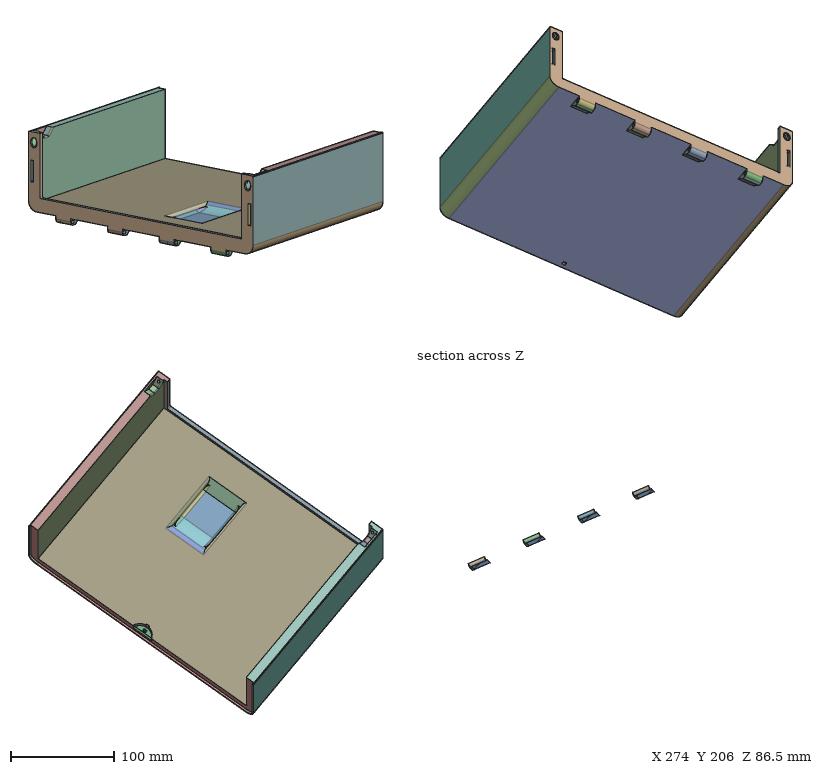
import cadquery as cq
import math


width = 274.0
length = 206.0
total_height = 86.5
hook_drop = 7.0
height = total_height - hook_drop
shell = 10.1
corner_radius = 10.1
top_chamfer = 0.8

rim_thickness = 14.2
rim_depth = 4.0
rim_fillet = 1.0

lap_length = 2.2
skin = 1.5

notch_start = 5.5
notch_ramp = 6.8
notch_flat = 6.3
notch_outer_wall = 2.7
notch_edge_fillet = 1.5

screw_below_top = 10.7
screw_from_side = 6.5
screw_bore_diameter = 6.0
screw_bore_depth = 6.5
screw_end_diameter = 2.7
screw_mouth_chamfer = 0.8

slot_width = 3.0
slot_height = 21.6
slot_from_side = 4.5
slot_below_top = 39.5
slot_depth = 4.0

recess_middle = 25.5
recess_width = 46.0
recess_front = 34.8
recess_rear = 103.3
recess_depth = 6.0
recess_front_ramp = 12.3
recess_fillet = 2.7
recess_lip_run = 6.0
recess_sweep_run = 15.3

scoop_radius = 12.0
scoop_base_radius = 11.5
scoop_behind_rear = 1.6
scoop_depth = 3.5
scoop_end_chamfer = 1.6
scoop_hole = 3.3
scoop_hole_from_rear = 5.8
scoop_nick_length = 2.2
scoop_nick_from_rear = 11.5

hook_count = 4
hook_pitch = 63.0
hook_width = 18.4
hook_length = 16.5
hook_heel_y = 13.2
hook_heel_drop = 1.6
hook_toe = 7.5
hook_nose_radius = 4.0
hook_hole_length = 4.5
hook_hole_height = 3.3
hook_hole_y = 3.3
hook_hole_below = 3.5

select_margin = 0.3


def box(x0, x1, y0, y1, z0, z1):
    return cq.Workplane("XY").box(x1 - x0, y1 - y0, z1 - z0, centered=False).translate((x0, y0, z0))


def along_x(outline, x0, x1):
    """Extrude a closed YZ outline from x0 to x1."""
    return outline.extrude(x1 - x0).translate((x0, 0, 0))


def both_sides(body):
    return body.union(body.mirror("YZ"))


def channel():
    outer = box(-width / 2, width / 2, 0, length, 0, height)
    outer = outer.edges("|Y and <Z").fillet(corner_radius)
    outer = outer.edges("|Y and >Z").chamfer(top_chamfer)
    rim_half = width / 2 - rim_thickness
    rim_opening = box(-rim_half, rim_half, 0, rim_depth, rim_thickness, height)
    rim_opening = rim_opening.edges("|Y and <Z").fillet(rim_fillet)
    shell_half = width / 2 - shell
    opening = box(-shell_half, shell_half, rim_depth, length, shell, height)
    lap_half = width / 2 - skin
    lap = box(-lap_half, lap_half, length - lap_length, length, skin, height)
    lap = lap.edges("|Y and <Z").fillet(corner_radius - skin)
    return outer.cut(rim_opening).cut(opening).cut(lap)


def notch():
    floor_start = notch_start + notch_ramp
    floor_end = floor_start + notch_flat
    outline = cq.Workplane("YZ").polyline([
        (notch_start, height),
        (floor_start, height - notch_ramp),
        (floor_end, height - notch_ramp),
        (floor_end + notch_ramp, height),
    ]).close()
    outer_face = width / 2 - notch_outer_wall
    return along_x(outline, width / 2 - rim_thickness, outer_face)


def screw_hole():
    start = cq.Vector(width / 2 - screw_from_side, 0, height - screw_below_top)
    direction = cq.Vector(0, 1, 1).normalized()
    bore_radius = screw_bore_diameter / 2
    through = screw_below_top * math.sqrt(2)
    lead_in = cq.Solid.makeCylinder(bore_radius, screw_bore_diameter, start, direction * -1)
    bore = cq.Solid.makeCylinder(bore_radius, screw_bore_depth, start, direction)
    drill = cq.Solid.makeCylinder(screw_end_diameter / 2, through, start, direction)
    return cq.Workplane(obj=bore.fuse(lead_in, drill))


def face_slot():
    x0 = width / 2 - slot_from_side - slot_width / 2
    z0 = height - slot_below_top - slot_height / 2
    return box(x0, x0 + slot_width, 0, slot_depth, z0, z0 + slot_height)


def recess():
    """Hollow with rounded lower sides, joined to a flared mouth."""
    top = shell
    bottom = shell - recess_depth
    x0 = recess_middle - recess_width / 2
    x1 = recess_middle + recess_width / 2
    side_round = recess_depth / 2

    rear_run = recess_lip_run + recess_sweep_run
    turn = 2 * math.atan(recess_depth / rear_run)
    lip_radius = recess_lip_run / math.sin(turn)
    sweep_radius = recess_sweep_run / math.sin(turn)
    sweep_start = recess_rear - rear_run
    sweep_middle = (
        sweep_start + sweep_radius * math.sin(turn / 2),
        bottom + sweep_radius * (1 - math.cos(turn / 2)),
    )
    sweep_end = (recess_rear - recess_lip_run, bottom + sweep_radius * (1 - math.cos(turn)))
    lip_middle = (
        recess_rear - lip_radius * math.sin(turn / 2),
        top - lip_radius * (1 - math.cos(turn / 2)),
    )

    raised_top = top + recess_depth
    front_over = recess_front - recess_front_ramp
    rear_over = sweep_end[0] + (raised_top - sweep_end[1]) / math.tan(turn)
    hollow = (
        cq.Workplane("YZ")
        .moveTo(front_over, raised_top)
        .lineTo(recess_front + recess_front_ramp, bottom)
        .lineTo(sweep_start, bottom)
        .threePointArc(sweep_middle, sweep_end)
        .lineTo(rear_over, raised_top)
        .close()
    )
    hollow = along_x(hollow, x0 + side_round, x1 - side_round)
    hollow = hollow.edges("(<X or >X) and (not >Z)").fillet(recess_fillet)
    hollow = hollow.intersect(box(x0, x1, 0, length, 0, top))

    ends = (
        cq.Workplane("YZ")
        .moveTo(recess_front, top)
        .lineTo(recess_front + recess_front_ramp, bottom)
        .lineTo(sweep_start, bottom)
        .threePointArc(sweep_middle, sweep_end)
        .threePointArc(lip_middle, (recess_rear, top))
        .close()
    )
    sides = (
        cq.Workplane("XZ")
        .moveTo(x0, top)
        .radiusArc((x0 + side_round, top - side_round), side_round)
        .lineTo(x1 - side_round, top - side_round)
        .radiusArc((x1, top), side_round)
        .close()
        .extrude(-length)
    )
    return hollow.union(along_x(ends, x0, x1).intersect(sides))


def finger_scoop():
    floor = shell - scoop_depth
    centre = cq.Vector(0, length + scoop_behind_rear, floor)
    scoop = cq.Workplane(obj=cq.Solid.makeCone(scoop_base_radius, scoop_radius, scoop_depth, centre))
    rear = length - lap_length
    bevel = cq.Workplane("YZ").polyline([
        (rear, floor),
        (rear, floor - scoop_end_chamfer),
        (rear - scoop_end_chamfer, floor),
    ]).close()
    scoop = scoop.union(along_x(bevel, -scoop_base_radius, scoop_base_radius))
    hole_y = length - scoop_hole_from_rear
    half = scoop_hole / 2
    hole = box(-half, half, hole_y - half, hole_y + half, 0, shell)
    nick_front = length - scoop_nick_from_rear
    nick = cq.Workplane("YZ").polyline([
        (nick_front, shell),
        (nick_front + scoop_nick_length, shell),
        (nick_front + scoop_nick_length, floor),
    ]).close()
    return scoop.union(hole).union(along_x(nick, -half, half))


def hook(x):
    outline = cq.Workplane("YZ").polyline([
        (0, shell / 2),
        (0, -hook_drop),
        (hook_toe, -hook_drop),
        (hook_heel_y, -hook_heel_drop),
        (hook_length, 0),
        (hook_length, shell / 2),
    ]).close()
    body = along_x(outline, x - hook_width / 2, x + hook_width / 2)
    body = body.edges("|X and <Y and <Z").fillet(hook_nose_radius)
    hole = cq.Workplane("YZ").center(hook_hole_y, -hook_hole_below)
    hole = hole.slot2D(hook_hole_length, hook_hole_height)
    return body.cut(along_x(hole, x - hook_width / 2, x + hook_width / 2))


def round_notch_edges(body):
    """Round the notch edges that open to the inside of each wall."""
    inner_face = width / 2 - shell
    notch_end = notch_start + 2 * notch_ramp + notch_flat
    for side in (-1, 1):
        edges = body.edges(cq.selectors.BoxSelector(
            (side * inner_face - select_margin, notch_start, height - notch_ramp - select_margin),
            (side * inner_face + select_margin, notch_end, height - select_margin),
        ))
        body = edges.fillet(notch_edge_fillet)
    return body


def chamfer_screw_mouths(body):
    """Bevel the oval mouths of the screw holes in the front face."""
    x = width / 2 - screw_from_side
    z = height - screw_below_top
    for side in (-1, 1):
        mouth = body.edges(cq.selectors.BoxSelector(
            (side * x - screw_bore_diameter, -select_margin, z - screw_bore_diameter),
            (side * x + screw_bore_diameter, select_margin, z + screw_bore_diameter),
            boundingbox=True,
        ))
        body = mouth.chamfer(screw_mouth_chamfer)
    return body


result = channel().cut(both_sides(notch()))
result = round_notch_edges(result)
for wall_feature in (screw_hole(), face_slot()):
    result = result.cut(both_sides(wall_feature))
result = chamfer_screw_mouths(result)
result = result.cut(recess()).cut(finger_scoop())
for i in range(hook_count):
    result = result.union(hook((i - (hook_count - 1) / 2) * hook_pitch))